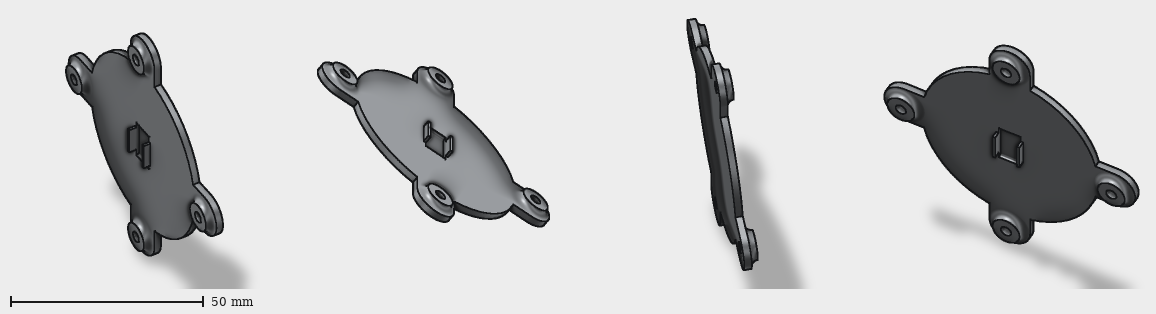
import cadquery as cq

span = 74.0
plate_thickness = 2.0
boss_height = 2.0
disc_radius = 26.0
lug_radius = 6.0
hole_diameter = 3.0
boss_top_radius = 4.0
pocket_width = 6.45
pocket_length = 11.3
pocket_depth = 1.0
pocket_end_fillet = 0.75
rail_width = 0.75
rail_length = 7.8
rail_height = 2.0

lug_offset = span / 2 - lug_radius
lug_angles = [0, 90, 180, 270]


def front_sketch(height=0.0):
    """Workplane facing -Y at a height above the plate's front face (Y = 0)."""
    return cq.Workplane("XZ").workplane(offset=height)


def turn(shape, angle):
    """Turn a shape about the central Y axis."""
    return shape.rotate((0, 0, 0), (0, 1, 0), angle)


def make_lug():
    """Round-ended arm reaching from the disc centre along +X."""
    arm = front_sketch().center(lug_offset / 2, 0).rect(lug_offset, 2 * lug_radius)
    tip = front_sketch().center(lug_offset, 0).circle(lug_radius)
    return arm.extrude(-plate_thickness).union(tip.extrude(-plate_thickness))


def make_boss():
    """Boss whose concave side flares from its top out to the lug edge."""
    flare = lug_radius - boss_top_radius
    diagonal = 0.5 ** 0.5
    flare_middle = (lug_radius - flare * diagonal, -boss_height * (1 - diagonal))
    return (
        cq.Workplane("XY")
        .lineTo(lug_radius, 0)
        .threePointArc(flare_middle, (boss_top_radius, -boss_height))
        .lineTo(0, -boss_height)
        .close()
        .revolve(360, (0, 0, 0), (0, 1, 0))
        .translate((lug_offset, 0, 0))
    )


def make_hole():
    """Cutter through one lug and its boss."""
    hole = front_sketch(boss_height).center(lug_offset, 0).circle(hole_diameter / 2)
    return hole.extrude(-boss_height - plate_thickness)


def make_pocket():
    """Cutter for the shallow central pocket, with rounded floor edges at its two ends."""
    block = front_sketch().rect(pocket_width, pocket_length).extrude(-pocket_depth)
    return block.faces(">Y").edges("|X").fillet(pocket_end_fillet)


def make_rail(side):
    """Upright rail along one long edge of the pocket."""
    rail_offset = side * (pocket_width + rail_width) / 2
    return front_sketch().center(rail_offset, 0).rect(rail_width, rail_length).extrude(rail_height)


result = front_sketch().circle(disc_radius).extrude(-plate_thickness)
for angle in lug_angles:
    result = result.union(turn(make_lug(), angle))
for angle in lug_angles:
    result = result.union(turn(make_boss(), angle)).cut(turn(make_hole(), angle))

result = result.cut(make_pocket())

for side in (-1, 1):
    result = result.union(make_rail(side))